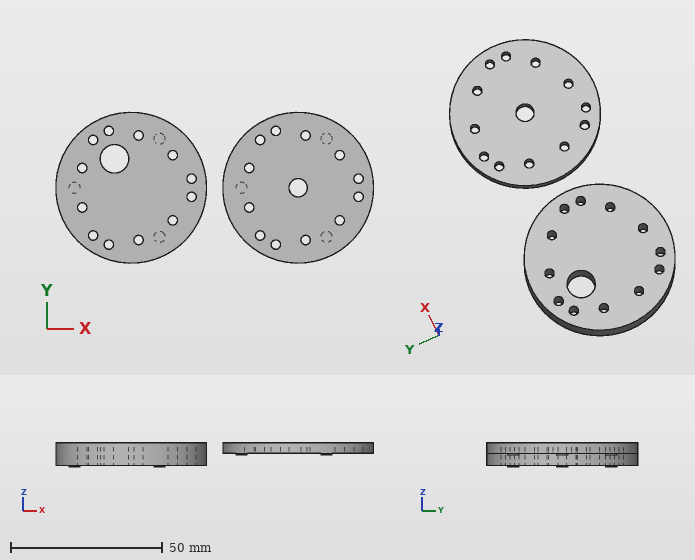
import cadquery as cq
import math

overall_length = 105.2
overall_height = 8.0
disc_diameter = 50.0
disc_center_x = (overall_length - disc_diameter) / 2

boss_height = 0.4
boss_diameter = 3.7
boss_circle_radius = 18.7

thick_disc_thickness = overall_height - boss_height
thin_disc_thickness = 3.6

sector_count = 3
screw_hole_diameter = 3.0
outer_pair_radial = 20.0
outer_pair_spacing = 6.0
inner_pair_radial = 16.2
inner_pair_spacing = 13.0

center_bore_diameter = 6.0
offset_bore_diameter = 9.4
offset_bore_radius = 11.0
offset_bore_angle = 120.0


def polar_point(radial, tangential, angle):
    """Point at a radial and tangential distance along a direction in degrees."""
    a = math.radians(angle)
    x = radial * math.cos(a) - tangential * math.sin(a)
    y = radial * math.sin(a) + tangential * math.cos(a)
    return x, y


outer_pair_angles = [360.0 / sector_count * i for i in range(sector_count)]
boss_angles = [angle + 180.0 / sector_count for angle in outer_pair_angles]


def hole_pairs(radial, spacing, angles):
    """Centres of hole pairs placed symmetrically about each direction."""
    return [
        polar_point(radial, side * spacing / 2, angle)
        for angle in angles
        for side in (-1, 1)
    ]


def make_disc(thickness, bore_diameter, bore_center):
    """Disc with screw holes, one bore and bosses below; its top face is at z = 0."""
    screw_points = hole_pairs(outer_pair_radial, outer_pair_spacing, outer_pair_angles)
    screw_points += hole_pairs(inner_pair_radial, inner_pair_spacing, boss_angles)
    boss_points = [polar_point(boss_circle_radius, 0, angle) for angle in boss_angles]

    plate = cq.Workplane("XY").circle(disc_diameter / 2).extrude(-thickness)
    bosses = (
        cq.Workplane("XY", origin=(0, 0, -thickness))
        .pushPoints(boss_points)
        .circle(boss_diameter / 2)
        .extrude(-boss_height)
    )
    screw_holes = (
        cq.Workplane("XY").pushPoints(screw_points).circle(screw_hole_diameter / 2).extrude(-thickness)
    )
    bore = cq.Workplane("XY").center(*bore_center).circle(bore_diameter / 2).extrude(-thickness)
    return plate.cut(screw_holes).cut(bore).union(bosses)


offset_bore_center = polar_point(offset_bore_radius, 0, offset_bore_angle)
thick_disc = make_disc(thick_disc_thickness, offset_bore_diameter, offset_bore_center)
thick_disc = thick_disc.translate((-disc_center_x, 0, overall_height))

thin_disc = make_disc(thin_disc_thickness, center_bore_diameter, (0, 0))
thin_disc = thin_disc.translate((disc_center_x, 0, overall_height))

result = cq.Compound.makeCompound([thick_disc.solids().val(), thin_disc.solids().val()])